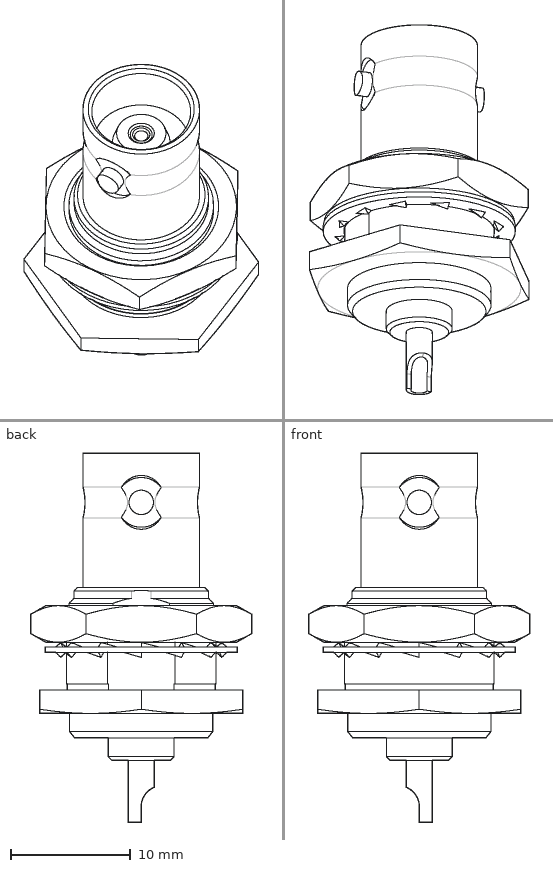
import math

import cadquery as cq


Z_STUB_BOTTOM = 5.18
Z_REAR_BOTTOM = 7.06
Z_FLANGE_BOTTOM = 9.10
Z_FLANGE_TOP = 11.06
Z_THREAD_BOTTOM = 11.58
Z_WASHER_BOTTOM = 14.20
Z_WASHER_TOP = 14.66
Z_NUT_BOTTOM = 15.03
Z_NUT_TOP = 18.13
Z_PILOT_TOP = 18.30
Z_COLLAR_TOP = 19.63
Z_LUG = 26.74
Z_TOP = 30.85

TAIL_RADIUS = 1.09
STUB_RADIUS = 2.76
STUB_CHAMFER = 0.30
REAR_RADIUS = 6.00
REAR_CHAMFER_WIDTH = 0.42
REAR_CHAMFER_HEIGHT = 0.53
RELIEF_RADIUS = 6.20
THREAD_RADIUS = 6.25
PILOT_RADIUS = 6.05
COLLAR_RADIUS = 5.63
COLLAR_CHAMFER = 0.30
BARREL_RADIUS = 4.88
FLAT_Y = 5.57

GROOVE_HALF_HEIGHT = 1.30
GROOVE_RADIUS = 4.71
LUG_RADIUS = 1.02
LUG_REACH = 5.53
LUG_SEAT_RADIUS = 2.08
LUG_SEAT_MOUTH_RADIUS = 2.25
LUG_SEAT_Y = 4.57

SOCKET_MOUTH_RADIUS = 4.43
SOCKET_MOUTH_CHAMFER = 0.30
SOCKET_FLOOR_RADIUS = 4.00
SOCKET_DEPTH = 4.25
BOSS_BASE_RADIUS = 2.40
BOSS_TOP_RADIUS = 2.06
BOSS_HEIGHT = 1.10
CONTACT_MOUTH_RADIUS = 1.09
CONTACT_SEAT_RADIUS = 0.92
CONTACT_LEAD_RADIUS = 0.72
CONTACT_BORE_RADIUS = 0.55
CONTACT_STEP = 0.17
CONTACT_BORE_DEPTH = 3.0

CUP_RADIUS = 0.70
CUP_DEPTH = 3.5
SCOOP_RADIUS = 1.75
Z_SCOOP_CENTER = 1.30

FLANGE_ACROSS_FLATS = 17.0
FLANGE_BEVEL_RADIUS = 8.50
FLANGE_BEVEL_ANGLE = 15
NUT_ACROSS_FLATS = 16.0
NUT_BEVEL_RADIUS = 7.96
NUT_BEVEL_ANGLE = 30
NUT_BORE_RADIUS = 5.88
NUT_MOUTH_RADIUS = 6.47

WASHER_RADIUS = 8.04
WASHER_BORE_RADIUS = 6.30
TOOTH_COUNT = 12
TOOTH_ROOT_RADIUS = 7.15
TOOTH_SPAN_ANGLE = 12.5
TOOTH_UPPER_HEIGHT = Z_NUT_BOTTOM - Z_WASHER_TOP
TOOTH_LOWER_HEIGHT = 0.42
TOOTH_EMBED = 0.10


def revolve_profile(points):
    """Solid of revolution about Z from (radius, height) points."""
    return cq.Workplane("XZ").polyline(points).close().revolve(360, (0, 0), (0, 1))


def corner_radius(across_flats):
    """Distance from the axis of a hexagon to its corners."""
    return across_flats / math.sqrt(3)


def hex_prism(across_flats, z_bottom, z_top):
    """Hexagonal prism with two corners on the X axis."""
    plane = cq.Workplane("XY").workplane(offset=z_bottom)
    return plane.polygon(6, 2 * corner_radius(across_flats)).extrude(z_top - z_bottom)


def bevel_drop(across_flats, bevel_radius, angle):
    """Height lost at the hex corners by a conical bevel."""
    return (corner_radius(across_flats) - bevel_radius) * math.tan(math.radians(angle))


def make_nut():
    corner = corner_radius(NUT_ACROSS_FLATS)
    drop = bevel_drop(NUT_ACROSS_FLATS, NUT_BEVEL_RADIUS, NUT_BEVEL_ANGLE)
    mouth_depth = NUT_MOUTH_RADIUS - NUT_BORE_RADIUS
    envelope = revolve_profile([
        (NUT_BORE_RADIUS, Z_NUT_BOTTOM + mouth_depth),
        (NUT_MOUTH_RADIUS, Z_NUT_BOTTOM),
        (NUT_BEVEL_RADIUS, Z_NUT_BOTTOM),
        (corner, Z_NUT_BOTTOM + drop),
        (corner, Z_NUT_TOP - drop),
        (NUT_BEVEL_RADIUS, Z_NUT_TOP),
        (NUT_MOUTH_RADIUS, Z_NUT_TOP),
        (NUT_BORE_RADIUS, Z_NUT_TOP - mouth_depth),
    ])
    return hex_prism(NUT_ACROSS_FLATS, Z_NUT_BOTTOM, Z_NUT_TOP).intersect(envelope)


def make_flange():
    """Hex flange with corners on the Y axis, bevelled on its lower face."""
    corner = corner_radius(FLANGE_ACROSS_FLATS)
    drop = bevel_drop(FLANGE_ACROSS_FLATS, FLANGE_BEVEL_RADIUS, FLANGE_BEVEL_ANGLE)
    envelope = revolve_profile([
        (0, Z_FLANGE_BOTTOM),
        (FLANGE_BEVEL_RADIUS, Z_FLANGE_BOTTOM),
        (corner, Z_FLANGE_BOTTOM + drop),
        (corner, Z_FLANGE_TOP),
        (0, Z_FLANGE_TOP),
    ])
    prism = hex_prism(FLANGE_ACROSS_FLATS, Z_FLANGE_BOTTOM, Z_FLANGE_TOP)
    return prism.rotate((0, 0, 0), (0, 0, 1), 90).intersect(envelope)


def make_rear():
    """Tail, insulator stub and rear collar below the flange."""
    return revolve_profile([
        (0, 0),
        (TAIL_RADIUS, 0),
        (TAIL_RADIUS, Z_STUB_BOTTOM),
        (STUB_RADIUS - STUB_CHAMFER, Z_STUB_BOTTOM),
        (STUB_RADIUS, Z_STUB_BOTTOM + STUB_CHAMFER),
        (STUB_RADIUS, Z_REAR_BOTTOM),
        (REAR_RADIUS - REAR_CHAMFER_WIDTH, Z_REAR_BOTTOM),
        (REAR_RADIUS, Z_REAR_BOTTOM + REAR_CHAMFER_HEIGHT),
        (REAR_RADIUS, Z_FLANGE_TOP),
        (0, Z_FLANGE_TOP),
    ])


def make_threaded_section():
    """Thread, pilot and collar above the flange, with one flat toward +Y."""
    z_pilot_bottom = (Z_NUT_BOTTOM + Z_NUT_TOP) / 2
    section = revolve_profile([
        (0, Z_FLANGE_TOP),
        (RELIEF_RADIUS, Z_FLANGE_TOP),
        (RELIEF_RADIUS, Z_THREAD_BOTTOM),
        (THREAD_RADIUS, Z_THREAD_BOTTOM),
        (THREAD_RADIUS, z_pilot_bottom),
        (PILOT_RADIUS, z_pilot_bottom),
        (PILOT_RADIUS, Z_PILOT_TOP),
        (COLLAR_RADIUS, Z_PILOT_TOP + PILOT_RADIUS - COLLAR_RADIUS),
        (COLLAR_RADIUS, Z_COLLAR_TOP - COLLAR_CHAMFER),
        (COLLAR_RADIUS - COLLAR_CHAMFER, Z_COLLAR_TOP),
        (0, Z_COLLAR_TOP),
    ])
    beyond_flat = cq.Workplane("XY").box(
        2 * THREAD_RADIUS, THREAD_RADIUS, Z_COLLAR_TOP - Z_FLANGE_TOP, centered=(True, False, False)
    ).translate((0, FLAT_Y, Z_FLANGE_TOP))
    return section.cut(beyond_flat)


def make_barrel():
    """Bayonet barrel with its rounded groove, lug seats and lugs whose ends are round about Z."""
    barrel = (
        cq.Workplane("XZ")
        .moveTo(0, Z_COLLAR_TOP)
        .lineTo(BARREL_RADIUS, Z_COLLAR_TOP)
        .lineTo(BARREL_RADIUS, Z_LUG - GROOVE_HALF_HEIGHT)
        .threePointArc((GROOVE_RADIUS, Z_LUG), (BARREL_RADIUS, Z_LUG + GROOVE_HALF_HEIGHT))
        .lineTo(BARREL_RADIUS, Z_TOP)
        .lineTo(0, Z_TOP)
        .close()
        .revolve(360, (0, 0), (0, 1))
    )
    seat_wall_slope = (LUG_SEAT_MOUTH_RADIUS - LUG_SEAT_RADIUS) / (BARREL_RADIUS - LUG_SEAT_Y)
    seat_height = LUG_REACH - LUG_SEAT_Y
    seat_outer_radius = LUG_SEAT_RADIUS + seat_height * seat_wall_slope
    for side in (-1, 1):
        axis = cq.Vector(0, side, 0)
        seat_center = cq.Vector(0, side * LUG_SEAT_Y, Z_LUG)
        seat = cq.Solid.makeCone(LUG_SEAT_RADIUS, seat_outer_radius, seat_height, seat_center, axis)
        barrel = barrel.cut(cq.Workplane(seat))
    lugs = cq.Solid.makeCylinder(
        LUG_RADIUS, 2 * LUG_REACH, cq.Vector(0, -LUG_REACH, Z_LUG), cq.Vector(0, 1, 0)
    )
    barrel_base = cq.Workplane("XY").workplane(offset=Z_COLLAR_TOP)
    lug_envelope = barrel_base.circle(LUG_REACH).extrude(Z_TOP - Z_COLLAR_TOP)
    return barrel.union(cq.Workplane(lugs).intersect(lug_envelope))


def make_socket_cavity():
    """Tapered mating socket around a conical insulator boss with a stepped contact bore."""
    z_floor = Z_TOP - SOCKET_DEPTH
    z_boss = z_floor + BOSS_HEIGHT
    z_seat = z_boss - CONTACT_STEP
    z_lead = z_seat - CONTACT_STEP
    return revolve_profile([
        (0, Z_TOP),
        (SOCKET_MOUTH_RADIUS, Z_TOP),
        (SOCKET_MOUTH_RADIUS - SOCKET_MOUTH_CHAMFER, Z_TOP - SOCKET_MOUTH_CHAMFER),
        (SOCKET_FLOOR_RADIUS, z_floor),
        (BOSS_BASE_RADIUS, z_floor),
        (BOSS_TOP_RADIUS, z_boss),
        (CONTACT_MOUTH_RADIUS, z_boss),
        (CONTACT_SEAT_RADIUS, z_seat),
        (CONTACT_LEAD_RADIUS, z_seat),
        (CONTACT_BORE_RADIUS, z_lead),
        (CONTACT_BORE_RADIUS, z_boss - CONTACT_BORE_DEPTH),
        (0, z_boss - CONTACT_BORE_DEPTH),
    ])


def make_solder_cup_cutter():
    """Bore up the tail, plus a scoop that opens its -X half."""
    bore = cq.Workplane("XY").circle(CUP_RADIUS).extrude(CUP_DEPTH)
    scoop_block = cq.Workplane("XY").box(
        SCOOP_RADIUS, 2 * SCOOP_RADIUS, Z_SCOOP_CENTER, centered=(True, True, False)
    ).translate((-SCOOP_RADIUS / 2, 0, 0))
    scoop_round = cq.Workplane("XZ").center(-SCOOP_RADIUS, Z_SCOOP_CENTER).circle(SCOOP_RADIUS)
    return bore.union(scoop_block).union(scoop_round.extrude(SCOOP_RADIUS, both=True))


def make_connector():
    connector = make_rear().union(make_flange()).union(make_threaded_section())
    connector = connector.union(make_barrel()).union(make_nut())
    return connector.cut(make_socket_cavity()).cut(make_solder_cup_cutter())


def make_tooth(z_face, height, span_angle):
    """Pointed tooth on a washer face: a triangle at angle zero that runs out at the span angle.

    A negative height points the tooth down.
    """
    middle_radius = (WASHER_BORE_RADIUS + TOOTH_ROOT_RADIUS) / 2
    z_base = z_face - math.copysign(TOOTH_EMBED, height)
    run_out = math.radians(span_angle)
    inner = cq.Vector(WASHER_BORE_RADIUS, 0, z_face)
    outer = cq.Vector(TOOTH_ROOT_RADIUS, 0, z_face)
    peak = cq.Vector(middle_radius, 0, z_face + height)
    end = cq.Vector(middle_radius * math.cos(run_out), middle_radius * math.sin(run_out), z_face)
    root = cq.Vector(middle_radius, 0, z_base)
    triangles = [
        (inner, outer, peak),
        (inner, root, outer),
        (inner, peak, end),
        (peak, outer, end),
        (outer, root, end),
        (root, inner, end),
    ]
    faces = [cq.Face.makeFromWires(cq.Wire.makePolygon(t, close=True)) for t in triangles]
    return cq.Workplane(cq.Solid.makeSolid(cq.Shell.makeShell(faces)))


def make_washer():
    plane = cq.Workplane("XY").workplane(offset=Z_WASHER_BOTTOM)
    washer = plane.circle(WASHER_RADIUS).circle(WASHER_BORE_RADIUS).extrude(Z_WASHER_TOP - Z_WASHER_BOTTOM)
    upper = make_tooth(Z_WASHER_TOP, TOOTH_UPPER_HEIGHT, TOOTH_SPAN_ANGLE)
    lower = make_tooth(Z_WASHER_BOTTOM, -TOOTH_LOWER_HEIGHT, -TOOTH_SPAN_ANGLE)
    for index in range(TOOTH_COUNT):
        angle = index * 360 / TOOTH_COUNT
        for tooth in (upper, lower):
            washer = washer.union(tooth.rotate((0, 0, 0), (0, 0, 1), angle))
    return washer


connector = make_connector()
washer = make_washer()

result = cq.Compound.makeCompound([connector.solids().val(), washer.solids().val()])